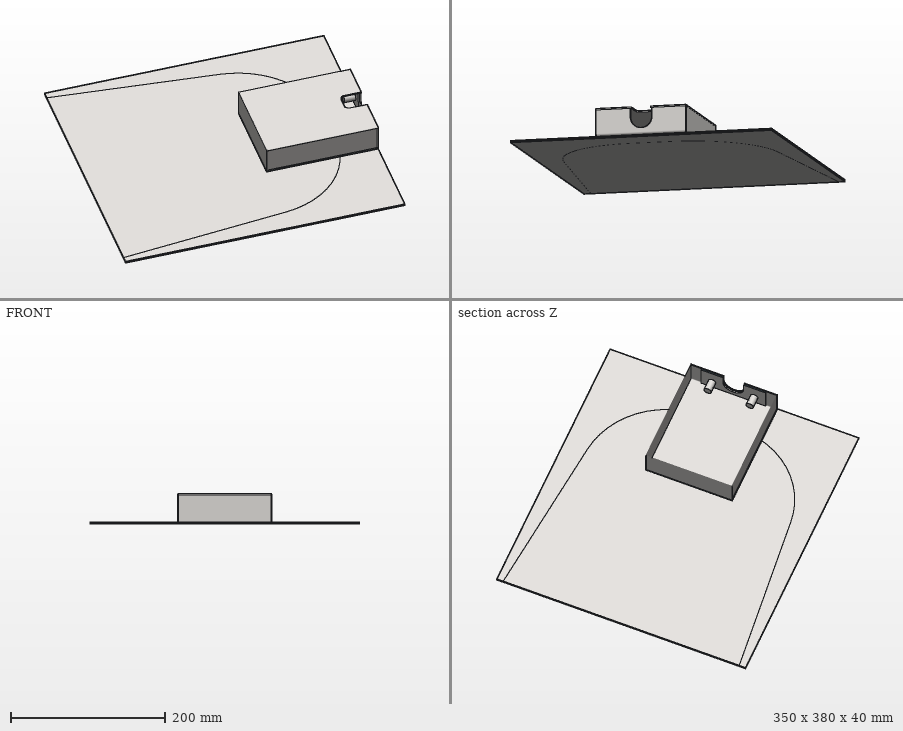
import cadquery as cq

plate_width = 350.0
plate_length = 380.0
sheet_thickness = 1.0
plate_top = 3 * sheet_thickness
back_y = plate_length / 2

chamber_front_half_width = 166.0
chamber_rear_half_width = 132.5
chamber_rear_y = 142.5
chamber_corner_radius = 116.0

total_height = 40.0
housing_width = 122.0
housing_length = 152.5
housing_height = total_height - plate_top
wall = 1.0
roof = 2.0
roof_edge_radius = 1.33
inner_width = housing_width - 2 * wall
roof_underside = total_height - roof

bracket_thickness = 2.0
bend_outer_radius = 3.0
bend_inner_radius = bend_outer_radius - bracket_thickness
floor_front_gap = 2.0
bracket_length = housing_length - wall - floor_front_gap

backing_width = 91.2
backing_thickness = 2.0
backing_bottom = plate_top + bend_outer_radius
backing_back_y = back_y - bracket_thickness
backing_front_y = backing_back_y - backing_thickness

slot_width = 29.0
slot_center_z = 26.5
notch_width = 26.0
notch_depth = 29.3
notch_corner_radius = 5.7

peg_diameter = 10.3
peg_length = 15.2
peg_offset_x = 29.5
peg_z = 19.0


def block(width, length, height, center_y, bottom_z):
    """Box centred on X, with its middle at center_y and its underside at bottom_z."""
    return (
        cq.Workplane("XY", origin=(0, center_y, bottom_z))
        .box(width, length, height, centered=(True, True, False))
    )


def make_sheet(level):
    """Plain sheet of the plate; level counts sheets from the bottom."""
    return block(plate_width, plate_length, sheet_thickness, 0, level * sheet_thickness)


def make_spacer_sheet():
    """Middle sheet with the chamber cut through it and through its front edge."""
    front_y = -back_y
    chamber = (
        cq.Workplane("XY", origin=(0, 0, sheet_thickness))
        .polyline([
            (-chamber_front_half_width, front_y),
            (chamber_front_half_width, front_y),
            (chamber_rear_half_width, chamber_rear_y),
            (-chamber_rear_half_width, chamber_rear_y),
        ])
        .close()
        .extrude(sheet_thickness)
        .edges("|Z and >Y")
        .fillet(chamber_corner_radius)
    )
    return make_sheet(1).cut(chamber)


def make_slot_cutter():
    """U-shaped cutter through the back walls, open at the top."""
    depth = bracket_thickness + backing_thickness
    center_y = back_y - depth / 2
    upper = block(slot_width, depth, total_height - slot_center_z, center_y, slot_center_z)
    round_bottom = (
        cq.Workplane("XZ", origin=(0, back_y, slot_center_z))
        .circle(slot_width / 2)
        .extrude(depth)
    )
    return upper.union(round_bottom)


def make_housing():
    """Roof, front wall and side walls with rounded roof edges and a notch at the back."""
    center_y = back_y - housing_length / 2
    shell = (
        block(housing_width, housing_length, housing_height, center_y, plate_top)
        .faces(">Z")
        .edges("|Y or <Y")
        .fillet(roof_edge_radius)
    )
    cavity_length = housing_length - wall
    cavity = block(
        inner_width, cavity_length, housing_height - roof, back_y - cavity_length / 2, plate_top
    )
    notch = (
        block(notch_width, notch_depth, roof, back_y - notch_depth / 2, roof_underside)
        .edges("|Z and <Y")
        .fillet(notch_corner_radius)
    )
    return shell.cut(cavity).cut(notch)


def make_bracket():
    """Bent strip: floor along the plate and back wall up to the roof, with the slot."""
    floor_front_y = back_y - bracket_length
    floor_top = plate_top + bracket_thickness
    bracket = (
        cq.Workplane("YZ", origin=(-inner_width / 2, 0, 0))
        .moveTo(floor_front_y, plate_top)
        .lineTo(back_y - bend_outer_radius, plate_top)
        .radiusArc((back_y, plate_top + bend_outer_radius), -bend_outer_radius)
        .lineTo(back_y, roof_underside)
        .lineTo(backing_back_y, roof_underside)
        .lineTo(backing_back_y, floor_top + bend_inner_radius)
        .radiusArc((backing_back_y - bend_inner_radius, floor_top), bend_inner_radius)
        .lineTo(floor_front_y, floor_top)
        .close()
        .extrude(inner_width)
    )
    return bracket.cut(make_slot_cutter())


def make_backing_plate():
    """Flat plate against the inside of the bracket's back wall, with the same slot."""
    plate = block(
        backing_width,
        backing_thickness,
        roof_underside - backing_bottom,
        backing_back_y - backing_thickness / 2,
        backing_bottom,
    )
    return plate.cut(make_slot_cutter())


def make_peg(center_x):
    """Round peg standing on the front of the backing plate."""
    return (
        cq.Workplane("XZ", origin=(center_x, backing_front_y, peg_z))
        .circle(peg_diameter / 2)
        .extrude(peg_length)
    )


bottom_sheet = make_sheet(0)
spacer_sheet = make_spacer_sheet()
top_sheet = make_sheet(2)
housing = make_housing()
bracket = make_bracket()
backing_plate = make_backing_plate()
pegs = [make_peg(side * peg_offset_x) for side in (-1, 1)]

result = cq.Compound.makeCompound([
    bottom_sheet.val(),
    spacer_sheet.val(),
    top_sheet.val(),
    housing.val(),
    bracket.val(),
    backing_plate.val(),
    *[peg.val() for peg in pegs],
])